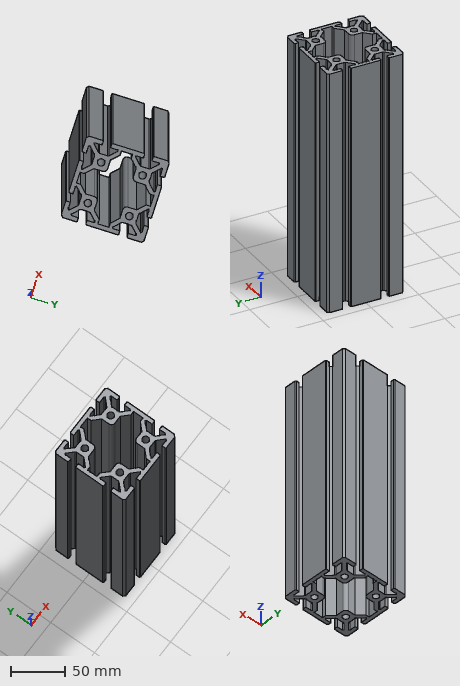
import cadquery as cq

side = 80.0
length = 254.0
corner_chamfer = 2.0

bore_diameter = 6.9
boss_width = 15.2
boss_radius = 3.8

slot_opening = 8.1
lip_chamfer = 0.8
wall = 4.3
slot_cavity_width = 23.4
floor_chamfer = 0.8
rib_thickness = 4.3

core_pocket_width = 10.7

half_side = side / 2
wall_inner = half_side - wall
bore_pitch = side / 2
bore_offset = bore_pitch / 2
boss_half = boss_width / 2
boss_inner = bore_offset - boss_half
boss_outer = bore_offset + boss_half
rib_reach = rib_thickness / 2 ** 0.5
rib_root = boss_half - rib_reach


def mirrored_prism(right_half):
    """Extrude an outline that is symmetric about the Y axis."""
    left_half = [(-x, y) for x, y in reversed(right_half)]
    return cq.Workplane("XY").polyline(right_half + left_half).close().extrude(length)


def quarter_turn(body, turns):
    return body.rotate((0, 0, 0), (0, 0, 1), 90 * turns)


def make_blank():
    blank = cq.Workplane("XY").rect(side, side).extrude(length)
    return blank.edges("|Z").chamfer(corner_chamfer)


def make_slot():
    """T-slot of the +Y side, centred on X = 0, with 45 degree flanks along the ribs."""
    half_opening = slot_opening / 2
    half_cavity = slot_cavity_width / 2
    flank_step = floor_chamfer / 2 ** 0.5
    flank_end_y = boss_outer + half_cavity - rib_root
    corner_cut = wall_inner - flank_end_y
    return mirrored_prism([
        (rib_root - floor_chamfer, boss_outer),
        (rib_root + flank_step, boss_outer + flank_step),
        (half_cavity, flank_end_y),
        (half_cavity - corner_cut, wall_inner),
        (half_opening, wall_inner),
        (half_opening, half_side - lip_chamfer),
        (half_opening + lip_chamfer, half_side),
    ])


def make_core():
    """Hollow core: a cross whose arms narrow from between the bosses to the side pockets."""
    half_pocket = core_pocket_width / 2
    flank_start_y = bore_offset + rib_root
    flank_end_y = flank_start_y + boss_inner - half_pocket
    arm = mirrored_prism([
        (boss_inner, 0),
        (boss_inner, flank_start_y),
        (half_pocket, flank_end_y),
        (half_pocket, wall_inner),
    ])
    core = arm
    for turns in range(1, 4):
        core = core.union(quarter_turn(arm, turns))
    corner_box = cq.selectors.BoxSelector(
        (-bore_offset, -bore_offset, 0),
        (bore_offset, bore_offset, length),
    )
    return core.edges("|Z").edges(corner_box).fillet(boss_radius)


def make_bores():
    pattern = cq.Workplane("XY").rarray(bore_pitch, bore_pitch, 2, 2)
    return pattern.circle(bore_diameter / 2).extrude(length)


result = make_blank().cut(make_core()).cut(make_bores())
for slot_x in (-bore_offset, bore_offset):
    slot = make_slot().translate((slot_x, 0, 0))
    for turns in range(4):
        result = result.cut(quarter_turn(slot, turns))